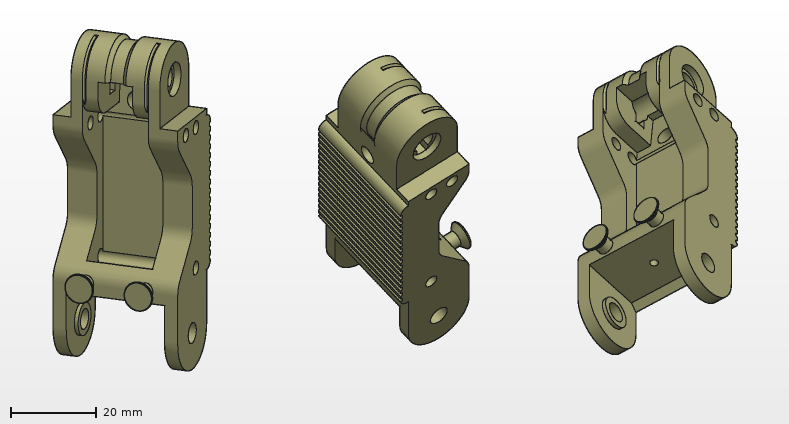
import cadquery as cq
import math


pivot_radius = 9.0
pivot_spacing = 80.5 - 2 * pivot_radius
body_width = 31.7
middle_z = pivot_spacing / 2

barrel_width = 22.6
shoulder_z = 53.0
bore_diameter = 6.0
key_width = 3.2
key_depth = 5.2
counterbore_diameter = 8.2
counterbore_depth = 1.8

cable_groove_bottom = 3.2
cable_groove_depth = 1.05
cable_groove_angle = 210
clip_groove_width = 1.0
clip_groove_end_y = -1.45

waist_corner_offset = 17.4
waist_floor_offset = 7.1
waist_radius = 5.0

cross_hole_diameter = 3.3
rear_hole_y = 2.25
front_hole_y = -3.95
upper_hole_z = 50.3
lower_hole_z = 15.45

window_width = 16.75
window_floor_y = 3.8
window_bottom_z = 16.8
window_bottom_y = -6.4
window_bottom_end_y = 1.6
window_bottom_slope = 19.5
window_top_z = 53.5
notch_width = 8.8
tongue_slope = 6.0
tongue_top_z = 61.9
tongue_hole_diameter = 4.7
tongue_hole_z = 54.4

fork_gap = 24.95
fork_top_z = 9.2
fork_stop_size = 1.8
boss_diameter = 8.0
boss_height = 1.0
fork_hole_diameter = 5.0

cord_hole_diameter = 2.0
cord_hole_y = -0.25

pad_thickness = 2.3
pad_bottom_z = 13.0
pad_top_z = 51.3
pad_corner_radius = 2.25
tooth_notch_radius = 0.65
tooth_pitch = 2.2
tooth_notch_count = 16
first_notch_z = 15.45

pin_spacing = 15.05
pin_z = 12.1
pin_diameter = 4.0
pin_head_diameter = 7.2
pin_neck_y = -11.4
pin_rim_y = -12.9
pin_end_y = -13.4
pin_end_chamfer = 0.2

back_y = pivot_radius + pad_thickness


def side_plane(x):
    """Plane facing +X whose sketch axes are Y and Z."""
    return cq.Workplane("YZ", origin=(x, 0, 0))


def cross_box(width, y_min, y_max, z_min, z_max, x=0.0):
    """Box centred on x, given by its limits in Y and Z."""
    return cq.Workplane("XY").box(width, y_max - y_min, z_max - z_min).translate(
        (x, (y_min + y_max) / 2, (z_min + z_max) / 2)
    )


def cross_cylinder(diameter, width, y=0.0, z=0.0, x=0.0):
    """Cylinder along X, centred on x."""
    return side_plane(x - width / 2).center(y, z).circle(diameter / 2).extrude(width)


def make_body():
    profile = (
        side_plane(-body_width / 2)
        .moveTo(-pivot_radius, 0)
        .threePointArc((0, -pivot_radius), (pivot_radius, 0))
        .lineTo(pivot_radius, shoulder_z)
        .lineTo(-pivot_radius, shoulder_z)
        .close()
        .extrude(body_width)
    )
    waist = (
        side_plane(-body_width / 2)
        .moveTo(-pivot_radius, middle_z - waist_corner_offset)
        .lineTo(0, middle_z - waist_floor_offset)
        .lineTo(0, middle_z + waist_floor_offset)
        .lineTo(-pivot_radius, middle_z + waist_corner_offset)
        .close()
        .extrude(body_width)
    )
    body = profile.cut(waist)
    waist_edges = cq.selectors.BoxSelector(
        (-body_width, -pivot_radius - 0.8, middle_z - waist_corner_offset - 0.8),
        (body_width, 0.8, middle_z + waist_corner_offset + 0.8),
    )
    return body.edges("|X").edges(waist_edges).fillet(waist_radius)


def make_barrel():
    upright = cross_box(barrel_width, -pivot_radius, pivot_radius, shoulder_z, pivot_spacing)
    return upright.union(cross_cylinder(2 * pivot_radius, barrel_width, 0, pivot_spacing))


def make_pad():
    pad = cross_box(body_width, pivot_radius, back_y, pad_bottom_z, pad_top_z)
    pad = pad.edges("|X and >Y").fillet(pad_corner_radius)
    for i in range(tooth_notch_count):
        notch_z = first_notch_z + i * tooth_pitch
        pad = pad.cut(cross_cylinder(2 * tooth_notch_radius, body_width, back_y, notch_z))
    return pad


def make_window():
    """Window between the side walls, with a tilted tongue face and a sloping bottom."""
    bottom_fall = math.tan(math.radians(window_bottom_slope))
    tongue_lean = math.tan(math.radians(tongue_slope))

    def bottom_z(y):
        return window_bottom_z - (y - window_bottom_y) * bottom_fall

    def tongue_y(z):
        return window_floor_y + (z - upper_hole_z) * tongue_lean

    def opening(width, top_z):
        return (
            side_plane(-width / 2)
            .moveTo(-pivot_radius, bottom_z(-pivot_radius))
            .lineTo(window_bottom_end_y, bottom_z(window_bottom_end_y))
            .lineTo(window_floor_y, lower_hole_z)
            .lineTo(window_floor_y, upper_hole_z)
            .lineTo(tongue_y(top_z), top_z)
            .lineTo(-pivot_radius, top_z)
            .close()
            .extrude(width)
        )

    window = opening(window_width, window_top_z)
    notch = opening(notch_width, tongue_top_z)
    notch_top = cross_box(notch_width, -pivot_radius, tongue_y(tongue_top_z), tongue_top_z, pivot_spacing)
    round_z = window_top_z + waist_radius
    barrel_rounding = cross_box(
        window_width, -pivot_radius, waist_radius - pivot_radius, window_top_z, round_z
    ).cut(cross_cylinder(2 * waist_radius, window_width, waist_radius - pivot_radius, round_z))
    return window.union(barrel_rounding).union(notch).union(notch_top)


def cut_cable_groove(part):
    """Groove with 45 degree flanks, from the front of the barrel over its top to the back."""
    half_bottom = cable_groove_bottom / 2
    half_top = half_bottom + cable_groove_depth
    bottom_y = cable_groove_depth - pivot_radius
    groove = (
        cq.Workplane("XY", origin=(0, 0, pivot_spacing))
        .moveTo(-half_top, -pivot_radius)
        .lineTo(-half_bottom, bottom_y)
        .lineTo(half_bottom, bottom_y)
        .lineTo(half_top, -pivot_radius)
        .close()
        .revolve(cable_groove_angle, (0, 0, 0), (-1, 0, 0))
    )
    return part.cut(groove)


def cut_clip_grooves(part):
    """V grooves beside the window, over the front of the barrel and straight down."""
    half_width = clip_groove_width / 2
    arc_angle = math.degrees(math.acos(-clip_groove_end_y / pivot_radius))
    for side in (-1, 1):
        x = side * (window_width / 2 - half_width)
        corners = [(-half_width, -pivot_radius), (0, half_width - pivot_radius), (half_width, -pivot_radius)]
        plane = cq.Workplane("XY", origin=(x, 0, pivot_spacing))
        over_top = plane.polyline(corners).close().revolve(arc_angle, (0, 0, 0), (-1, 0, 0))
        down_front = plane.polyline(corners).close().extrude(window_top_z - pivot_spacing)
        part = part.cut(over_top).cut(down_front)
    return part


def make_barrel_bore():
    bore = cross_cylinder(bore_diameter, barrel_width, 0, pivot_spacing)
    key_bottom_z = pivot_spacing - key_depth
    key_length = barrel_width - 2 * counterbore_depth
    key = cross_box(key_length, -key_width / 2, key_width / 2, key_bottom_z, pivot_spacing)
    bore = bore.union(key)
    for side in (-1, 1):
        x = side * (barrel_width - counterbore_depth) / 2
        bore = bore.union(cross_cylinder(counterbore_diameter, counterbore_depth, 0, pivot_spacing, x))
    return bore


def make_fork_gap():
    """Gap between the fork arms, ending in a 45 degree stop at the back."""
    return (
        side_plane(-fork_gap / 2)
        .moveTo(-pivot_radius, -pivot_radius)
        .lineTo(-pivot_radius, fork_top_z)
        .lineTo(pivot_radius - fork_stop_size, fork_top_z)
        .lineTo(pivot_radius, fork_top_z - fork_stop_size)
        .lineTo(pivot_radius, -pivot_radius)
        .close()
        .extrude(fork_gap)
    )


def make_pin(x):
    """Round pin with a conical head, revolved about its own axis along Y."""
    shaft = pin_diameter / 2
    head = pin_head_diameter / 2
    return (
        cq.Workplane("XY", origin=(x, 0, pin_z))
        .moveTo(0, window_bottom_y)
        .lineTo(shaft, window_bottom_y)
        .lineTo(shaft, pin_neck_y)
        .lineTo(head, pin_rim_y)
        .lineTo(head, pin_end_y + pin_end_chamfer)
        .lineTo(head - pin_end_chamfer, pin_end_y)
        .lineTo(0, pin_end_y)
        .close()
        .revolve(360, (0, 0, 0), (0, 1, 0))
    )


result = make_body().union(make_barrel()).union(make_pad())
result = result.cut(make_window()).cut(make_fork_gap())
result = cut_cable_groove(result)
result = cut_clip_grooves(result)

for side in (-1, 1):
    boss_x = side * (fork_gap - boss_height) / 2
    result = result.union(cross_cylinder(boss_diameter, boss_height, 0, 0, boss_x))
    result = result.union(make_pin(side * pin_spacing / 2))

result = result.cut(make_barrel_bore())
result = result.cut(cross_cylinder(fork_hole_diameter, body_width))
cross_holes = [(rear_hole_y, upper_hole_z), (front_hole_y, upper_hole_z), (rear_hole_y, lower_hole_z)]
for hole_y, hole_z in cross_holes:
    result = result.cut(cross_cylinder(cross_hole_diameter, body_width, hole_y, hole_z))

tongue_hole = (
    cq.Workplane("XZ", origin=(0, back_y, tongue_hole_z))
    .circle(tongue_hole_diameter / 2)
    .extrude(back_y + pivot_radius)
)
cord_hole = (
    cq.Workplane("XY", origin=(0, cord_hole_y, 0))
    .circle(cord_hole_diameter / 2)
    .extrude(window_bottom_z)
)
result = result.cut(tongue_hole).cut(cord_hole)